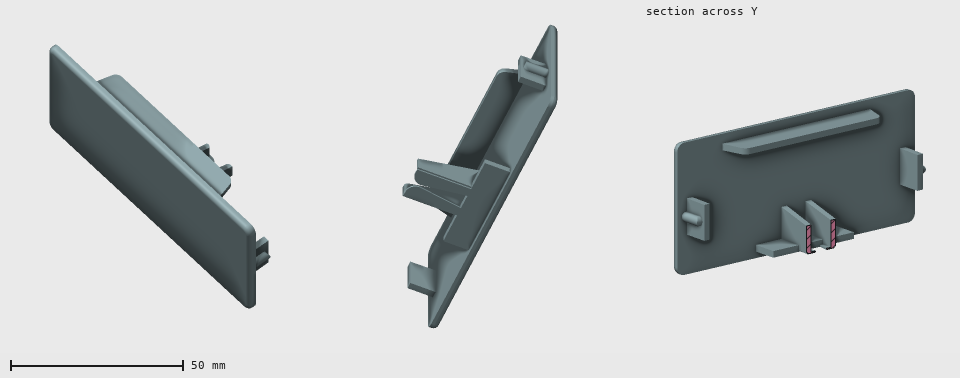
import cadquery as cq
import math

plate_width = 88.5
plate_height = 40.0
plate_thickness = 2.5
plate_corner_radius = 2.5
plate_edge_radius = 1.5

upper_face_draft = 1.0

rib_length = 8.0
rib_thickness = 2.0
top_rib_base_width = 55.0
top_rib_end_angle = 15.0
top_rib_corner_radius = 2.5
top_rib_upper_z = 17.0
bottom_rib_width = 30.0
bottom_rib_lower_z = -18.0

tab_outer_x = 40.7
tab_thickness = 2.0
tab_top_z = 3.0
tab_bottom_z = -8.0
pin_radius = 1.5
pin_straight_depth = 0.4
pin_tip_y = 9.6

clip_tip_y = 27.5
clip_outer_x = 5.5
foot_thickness = 0.5
foot_setback = 0.5
wall_thickness = 2.0
wall_tip_z = -13.0
wall_slope = 15.0
wall_inner_taper = 0.8
wall_tip_radius = 1.0
hook_angle = 8.0
hook_tip_radius = 3.0

plate_back_y = plate_thickness
rib_end_y = plate_back_y + rib_length
tab_middle_z = (tab_top_z + tab_bottom_z) / 2
clip_length = clip_tip_y - plate_back_y


def run(length, angle):
    """Sideways shift of a line leaning by angle (degrees) over the given length."""
    return length * math.tan(math.radians(angle))


def extrude_up(points, bottom_z, height):
    """Prism with an XY outline, standing on bottom_z."""
    return cq.Workplane("XY", origin=(0, 0, bottom_z)).polyline(points).close().extrude(height)


def mirrored_pair(body):
    """The body together with its mirror image on the other side of X = 0."""
    return body.union(body.mirror("YZ"))


def make_plate():
    """Rectangular plate with rounded corners and a rounded front edge."""
    plate = cq.Workplane("XY").box(plate_width, plate_thickness, plate_height, centered=(True, False, True))
    plate = plate.edges("|Y").fillet(plate_corner_radius)
    return plate.faces("<Y").edges().fillet(plate_edge_radius)


def extrude_sideways(points, start_x, width):
    """Prism with a YZ outline, running towards +X from start_x."""
    return cq.Workplane("YZ", origin=(start_x, 0, 0)).polyline(points).close().extrude(width)


def make_top_rib():
    """Trapezoidal rib with rounded far corners; its upper face falls slightly towards the end."""
    base_x = top_rib_base_width / 2
    end_x = base_x - run(rib_length, top_rib_end_angle)
    lower_z = top_rib_upper_z - rib_thickness
    outline = [
        (-base_x, plate_back_y),
        (base_x, plate_back_y),
        (end_x, rib_end_y),
        (-end_x, rib_end_y),
    ]
    side = [
        (plate_back_y, lower_z),
        (rib_end_y, lower_z),
        (rib_end_y, top_rib_upper_z - run(rib_length, upper_face_draft)),
        (plate_back_y, top_rib_upper_z),
    ]
    rib = extrude_up(outline, lower_z, rib_thickness)
    rib = rib.edges("|Z and >Y").fillet(top_rib_corner_radius)
    return rib.intersect(extrude_sideways(side, -base_x, top_rib_base_width))


def make_bottom_rib():
    """Plain rectangular rib that ties the roots of the two clips together."""
    return cq.Workplane("XY", origin=(0, plate_back_y, bottom_rib_lower_z)).box(
        bottom_rib_width, rib_length, rib_thickness, centered=(True, False, False)
    )


def make_tab():
    """Left tab; its upper edge falls slightly towards the end."""
    outline = [
        (plate_back_y, tab_bottom_z),
        (rib_end_y, tab_bottom_z),
        (rib_end_y, tab_top_z - run(rib_length, upper_face_draft)),
        (plate_back_y, tab_top_z),
    ]
    return extrude_sideways(outline, -tab_outer_x, tab_thickness)


def make_pin():
    """Left pin: a half-round bar along Y, cut to a half-round end when seen along X."""
    straight_x = -tab_outer_x - pin_straight_depth
    length = pin_tip_y - plate_back_y
    bar = (
        cq.Workplane("XZ", origin=(0, plate_back_y, tab_middle_z))
        .moveTo(-tab_outer_x, -pin_radius)
        .lineTo(straight_x, -pin_radius)
        .threePointArc((straight_x - pin_radius, 0), (straight_x, pin_radius))
        .lineTo(-tab_outer_x, pin_radius)
        .close()
        .extrude(-length)
    )
    round_center_y = pin_tip_y - pin_radius
    round_end = (
        cq.Workplane("YZ", origin=(-tab_outer_x, 0, tab_middle_z))
        .moveTo(plate_back_y, -pin_radius)
        .lineTo(round_center_y, -pin_radius)
        .threePointArc((pin_tip_y, 0), (round_center_y, pin_radius))
        .lineTo(plate_back_y, pin_radius)
        .close()
        .extrude(-pin_straight_depth - pin_radius)
    )
    return bar.intersect(round_end)


def make_clip():
    """Left clip: hooked foot with a wall that gets lower and slightly thinner towards the tip."""
    inner_base_x = -clip_outer_x + wall_thickness
    foot_outer_x = -clip_outer_x + foot_setback
    foot_outline = [
        (foot_outer_x, plate_back_y),
        (inner_base_x, plate_back_y),
        (inner_base_x + run(clip_length, hook_angle), clip_tip_y),
        (foot_outer_x, clip_tip_y),
    ]
    foot = extrude_up(foot_outline, bottom_rib_lower_z, foot_thickness)
    foot = foot.edges("|Z and >Y").edges(">X").fillet(hook_tip_radius)

    wall_bottom_z = bottom_rib_lower_z + foot_thickness
    wall_base_z = wall_tip_z + run(clip_length, wall_slope)
    wall_outline = [
        (-clip_outer_x, plate_back_y),
        (inner_base_x, plate_back_y),
        (inner_base_x - run(clip_length, wall_inner_taper), clip_tip_y),
        (-clip_outer_x, clip_tip_y),
    ]
    wall = extrude_up(wall_outline, wall_bottom_z, wall_base_z - wall_bottom_z)
    wall = wall.edges("|Z and >Y").edges(">X").fillet(wall_tip_radius)
    wall_side = [
        (plate_back_y, wall_bottom_z),
        (clip_tip_y, wall_bottom_z),
        (clip_tip_y, wall_tip_z),
        (plate_back_y, wall_base_z),
    ]
    slope_limit = extrude_sideways(wall_side, -clip_outer_x, wall_thickness)
    return foot.union(wall.intersect(slope_limit))


result = (
    make_plate()
    .union(make_top_rib())
    .union(make_bottom_rib())
    .union(mirrored_pair(make_tab()))
    .union(mirrored_pair(make_pin()))
    .union(mirrored_pair(make_clip()))
)